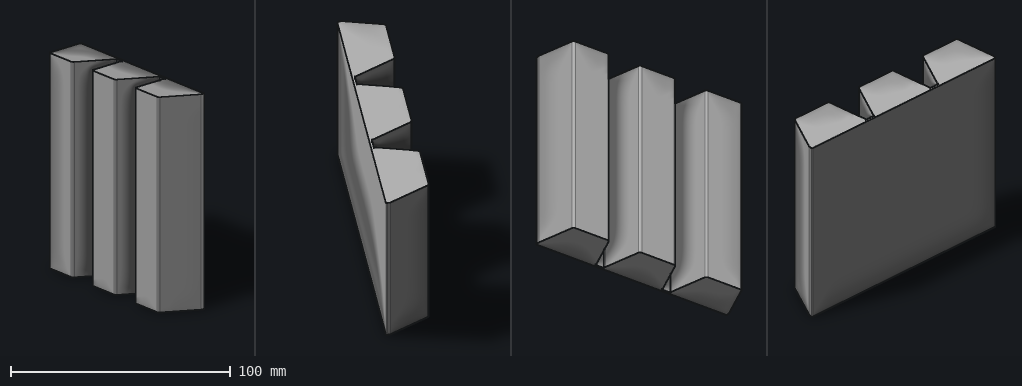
import cadquery as cq

width = 104.8
depth = 21.4
height = 101.5

bar_count = 3
gap_width = 4.7
web_thickness = 1.3
bar_width = (width - (bar_count - 1) * gap_width) / bar_count
bar_pitch = bar_width + gap_width

straight_side = 2.1
flank_inset = 6.1
front_radius = 1.3
back_radius = 0.5

back_y = depth / 2
front_y = -depth / 2
flank_start_y = back_y - straight_side


def make_bar(center_x):
    """One full-height bar with rounded front edges."""
    half_back = bar_width / 2
    half_front = half_back - flank_inset
    outline = [
        (center_x - half_back, back_y),
        (center_x - half_back, flank_start_y),
        (center_x - half_front, front_y),
        (center_x + half_front, front_y),
        (center_x + half_back, flank_start_y),
        (center_x + half_back, back_y),
    ]
    bar = cq.Workplane("XY").polyline(outline).close().extrude(height)
    return bar.edges("|Z and <Y").fillet(front_radius)


def make_web():
    """Thin sheet across the full width, flush with the back of the bars."""
    return (
        cq.Workplane("XY")
        .box(width, web_thickness, height, centered=(True, False, False))
        .translate((0, back_y - web_thickness, 0))
    )


body = make_web()
for index in range(bar_count):
    body = body.union(make_bar((index - (bar_count - 1) / 2) * bar_pitch))
body = body.clean()

result = body.faces(">Y").edges("|Z").fillet(back_radius)